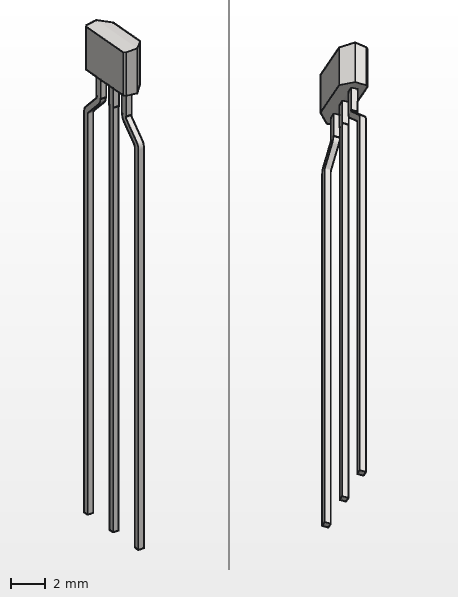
import cadquery as cq
import math

total_height = 32.87
top_z = total_height / 2
tip_z = -total_height / 2

body_height = 3.0
body_width = 4.1
body_depth = 1.57
back_depth = 0.7
end_draft = 0.07
side_draft = 0.07
front_chamfer = 0.12
bottom_z = top_z - body_height
parting_y = body_depth / 2 - back_depth

lead_pitch_at_body = 1.27
lead_pitch_at_tip = 2.54
lead_thickness = 0.4
wide_lead_width = 0.46
lead_width = 0.38
bend_radius = 0.42
bend_angle = 45
lead_embed = 1.0
lead_top_z = bottom_z + lead_embed
shoulder_drop = 4.67
shoulder_z = top_z - shoulder_drop


def body_half(plan_points, face_y):
    """Prism of the plan outline, trimmed so its upper and lower ends slope in toward face_y."""
    prism = cq.Workplane("XY", origin=(0, 0, bottom_z)).polyline(plan_points).close().extrude(body_height)
    side_points = [
        (parting_y, bottom_z),
        (parting_y, top_z),
        (face_y, top_z - end_draft),
        (face_y, bottom_z + end_draft),
    ]
    side_profile = cq.Workplane("YZ").polyline(side_points).close().extrude(body_width, both=True)
    return prism.intersect(side_profile)


def make_body():
    widest_x = body_width / 2

    back_y = body_depth / 2
    back_x = widest_x - back_depth
    back = body_half(
        [(-widest_x, parting_y), (widest_x, parting_y), (back_x, back_y), (-back_x, back_y)],
        back_y,
    )

    front_y = -body_depth / 2
    corner_x = widest_x - side_draft
    corner_y = front_y + front_chamfer
    front_x = corner_x - front_chamfer
    front = body_half(
        [
            (-widest_x, parting_y),
            (-corner_x, corner_y),
            (-front_x, front_y),
            (front_x, front_y),
            (corner_x, corner_y),
            (widest_x, parting_y),
        ],
        front_y,
    )
    return back.union(front)


def straight_strip(center_x, width, low_z, high_z):
    center_z = (low_z + high_z) / 2
    outline = cq.Workplane("XZ", origin=(center_x, parting_y, center_z)).rect(width, high_z - low_z)
    return outline.extrude(lead_thickness)


def wide_strip(center_x):
    return straight_strip(center_x, wide_lead_width, shoulder_z, lead_top_z)


def make_middle_lead():
    return wide_strip(0).union(straight_strip(0, lead_width, tip_z, shoulder_z))


def make_right_lead():
    """Lead that bends outward below its shoulder and back to vertical at the wider pitch."""
    angle = math.radians(bend_angle)
    bend_run = bend_radius * (1 - math.cos(angle))
    bend_drop = bend_radius * math.sin(angle)
    slant_run = lead_pitch_at_tip - lead_pitch_at_body - 2 * bend_run
    slant_drop = slant_run / math.tan(angle)

    upper_bend_end = (lead_pitch_at_body + bend_run, shoulder_z - bend_drop)
    lower_bend_start = (lead_pitch_at_tip - bend_run, upper_bend_end[1] - slant_drop)
    lower_bend_end = (lead_pitch_at_tip, lower_bend_start[1] - bend_drop)
    lead_y = parting_y - lead_thickness / 2
    path = (
        cq.Workplane("XZ", origin=(0, lead_y, 0))
        .moveTo(lead_pitch_at_body, shoulder_z)
        .radiusArc(upper_bend_end, -bend_radius)
        .lineTo(*lower_bend_start)
        .radiusArc(lower_bend_end, bend_radius)
        .lineTo(lead_pitch_at_tip, tip_z)
    )
    section = cq.Workplane("XY", origin=(lead_pitch_at_body, lead_y, shoulder_z))
    bent = section.rect(lead_width, lead_thickness).sweep(path)
    return wide_strip(lead_pitch_at_body).union(bent)


right_lead = make_right_lead()
left_lead = right_lead.mirror("YZ")
result = make_body().union(make_middle_lead()).union(right_lead).union(left_lead)